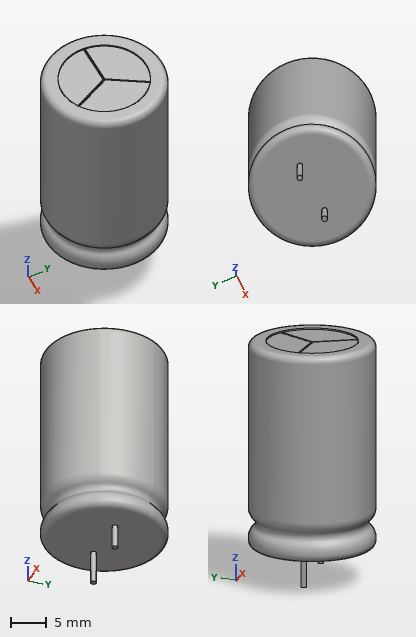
import cadquery as cq
import math


can_radius = 9.0
can_height = 30.0
end_fillet = 1.0

neck_z = 3.47
neck_depth = 1.0
neck_arc_radius = 1.0
shoulder_arc_radius = 2.0

stripe_half_angle = 27.5

vent_radius = 6.5
vent_depth = 0.2
score_width = 0.2
score_depth = 0.2
score_angles = (60, 180, 300)

lead_radius = 0.4
lead_pitch = 7.5
long_lead_length = 5.0
short_lead_length = 3.5
lead_embed = 1.0


def neck_profile_points():
    """Return tangent and middle points of the neck arcs, from bottom to top."""
    sweep = math.acos(1 - neck_depth / (neck_arc_radius + shoulder_arc_radius))
    neck_radius = can_radius - neck_depth
    blend_r = neck_radius + neck_arc_radius * (1 - math.cos(sweep))
    blend_dz = neck_arc_radius * math.sin(sweep)
    wall_dz = blend_dz + shoulder_arc_radius * math.sin(sweep)
    middle_r = can_radius - shoulder_arc_radius * (1 - math.cos(sweep / 2))
    middle_dz = wall_dz - shoulder_arc_radius * math.sin(sweep / 2)
    return [
        (can_radius, neck_z - wall_dz),
        (middle_r, neck_z - middle_dz),
        (blend_r, neck_z - blend_dz),
        (neck_radius, neck_z),
        (blend_r, neck_z + blend_dz),
        (middle_r, neck_z + middle_dz),
        (can_radius, neck_z + wall_dz),
    ]


def can_sector(start_angle, sweep_angle):
    """Revolve the can profile about Z, from start_angle through sweep_angle."""
    points = neck_profile_points()
    lower_wall, lower_middle, lower_blend, neck, upper_blend, upper_middle, upper_wall = points
    flat_radius = can_radius - end_fillet
    fillet_middle = end_fillet * math.sqrt(0.5)
    profile = (
        cq.Workplane("XZ")
        .lineTo(flat_radius, 0)
        .threePointArc(
            (flat_radius + fillet_middle, end_fillet - fillet_middle),
            (can_radius, end_fillet),
        )
        .lineTo(*lower_wall)
        .threePointArc(lower_middle, lower_blend)
        .threePointArc(neck, upper_blend)
        .threePointArc(upper_middle, upper_wall)
        .lineTo(can_radius, can_height - end_fillet)
        .threePointArc(
            (flat_radius + fillet_middle, can_height - end_fillet + fillet_middle),
            (flat_radius, can_height),
        )
        .lineTo(0, can_height)
        .close()
    )
    sector = profile.revolve(sweep_angle, (0, 0, 0), (0, 1, 0))
    return sector.rotate((0, 0, 0), (0, 0, 1), start_angle)


def vent():
    """Return the volume removed from the top face: the recess and the score arms in its floor."""
    recess_floor = can_height - vent_depth
    cutter = cq.Workplane("XY", origin=(0, 0, recess_floor)).circle(vent_radius).extrude(vent_depth)
    score_plane = cq.Workplane("XY", origin=(0, 0, recess_floor - score_depth))
    score_limit = score_plane.circle(vent_radius).extrude(score_depth)
    for angle in score_angles:
        arm = score_plane.center(vent_radius / 2, 0).rect(vent_radius, score_width).extrude(score_depth)
        arm = arm.rotate((0, 0, 0), (0, 0, 1), angle)
        cutter = cutter.union(arm.intersect(score_limit))
    return cutter


def lead(x, length):
    """Return a round lead reaching the given length below the can."""
    return (
        cq.Workplane("XY", origin=(x, 0, -length))
        .circle(lead_radius)
        .extrude(length + lead_embed)
    )


stripe = can_sector(-stripe_half_angle, 2 * stripe_half_angle)
sleeve = can_sector(stripe_half_angle, 360 - 2 * stripe_half_angle)

result = (
    sleeve.union(stripe, clean=False)
    .cut(vent(), clean=False)
    .union(lead(-lead_pitch / 2, long_lead_length), clean=False)
    .union(lead(lead_pitch / 2, short_lead_length), clean=False)
)